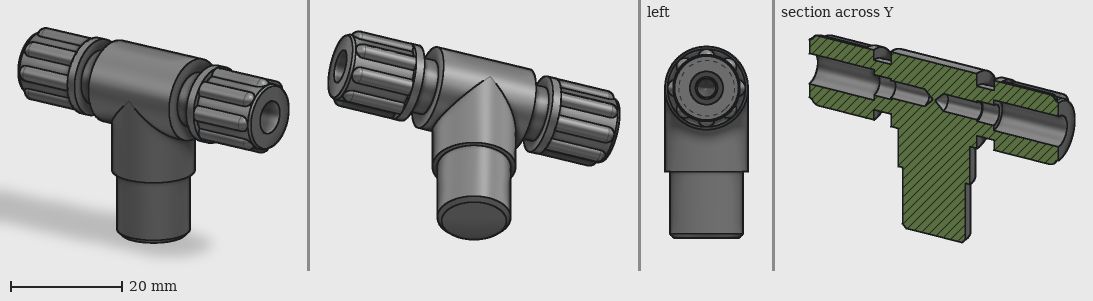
import cadquery as cq

total_length = 52.0
total_height = 34.5
half_length = total_length / 2

body_dia = 15.0
body_length = 18.0
neck_dia = 10.0

shoulder_to_tip = 11.95
spigot_dia = 13.2
spigot_chamfer = 0.8
branch_tip = total_height - body_dia / 2
shoulder_depth = branch_tip - shoulder_to_tip

nut_length = 13.5
flange_dia = 14.0
flange_width = 1.6
nut_core_dia = 12.0
nut_chamfer = 0.25
nut_chamfer_length = 0.5
rib_count = 8
rib_radius = 1.5
rib_inset = 2.0
rib_circle_radius = flange_dia / 2 - rib_radius

entry_dia = 6.0
entry_depth = nut_length
step_dia = 4.0
step_depth = half_length - body_length / 2
bore_dia = 3.4
web_thickness = 0.5
bore_tip_length = bore_dia / 2


def run_cylinder(diameter, start, end):
    return cq.Workplane("YZ").workplane(offset=start).circle(diameter / 2).extrude(end - start)


def branch_cylinder(diameter, depth):
    return cq.Workplane("XY").circle(diameter / 2).extrude(-depth)


def make_tee():
    neck_half = half_length - nut_length
    tee = run_cylinder(body_dia, -body_length / 2, body_length / 2)
    tee = tee.union(run_cylinder(neck_dia, -neck_half, neck_half))
    spigot = branch_cylinder(spigot_dia, branch_tip).faces("<Z").chamfer(spigot_chamfer)
    return tee.union(branch_cylinder(body_dia, shoulder_depth)).union(spigot)


def make_rib(rib_end):
    """Round bar with a domed outer end, on the +Z side of the nut."""
    dome_centre = half_length - rib_inset
    dome = cq.Workplane("XY").sphere(rib_radius).translate((dome_centre, 0, 0))
    bar = run_cylinder(2 * rib_radius, rib_end, dome_centre)
    return bar.union(dome).translate((0, 0, rib_circle_radius))


def make_nut():
    """Nut on the +X end."""
    inner_end = half_length - nut_length
    flange_face = inner_end + flange_width
    core = run_cylinder(nut_core_dia, inner_end, half_length)
    core = core.faces(">X").edges().chamfer(nut_chamfer_length, nut_chamfer)
    nut = core.union(run_cylinder(flange_dia, inner_end, flange_face))
    rib = make_rib(flange_face)
    for index in range(rib_count):
        angle = index * 360 / rib_count
        nut = nut.union(rib.rotate((0, 0, 0), (1, 0, 0), angle))
    return nut


def make_bore():
    """Cutter for the bore entering from the +X end."""
    tip = web_thickness / 2
    profile = [
        (half_length, 0),
        (half_length, entry_dia / 2),
        (half_length - entry_depth, entry_dia / 2),
        (half_length - entry_depth, step_dia / 2),
        (half_length - step_depth, step_dia / 2),
        (half_length - step_depth, bore_dia / 2),
        (tip + bore_tip_length, bore_dia / 2),
        (tip, 0),
    ]
    return cq.Workplane("XY").polyline(profile).close().revolve(360, (0, 0, 0), (1, 0, 0))


nut = make_nut()
bore = make_bore()
result = make_tee().union(nut).union(nut.mirror("YZ"))
result = result.cut(bore).cut(bore.mirror("YZ"))